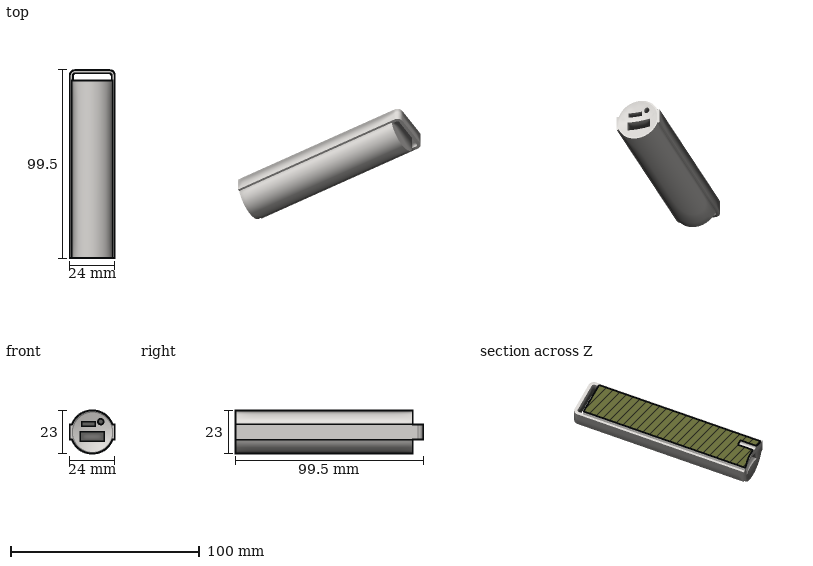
import cadquery as cq

body_diameter = 23.0
total_length = 99.5
band_width = 24.0

loop_overhang = 5.5
band_height = 8.0
band_thickness = 1.8
band_outer_radius = 3.0
band_inner_radius = band_outer_radius - band_thickness

rim_width = 0.8
dish_depth = 1.8

large_socket = (12.5, 5.1, 0.0, -2.45)
small_socket = (7.3, 2.4, -2.0, 4.25)
socket_depth = 10.0

round_hole_diameter = 3.0
round_hole_x = 4.5
round_hole_z = 5.45

body_length = total_length - loop_overhang


def make_body():
    """Solid cylinder along Y."""
    return cq.Workplane("XZ").circle(body_diameter / 2).extrude(-body_length)


def rounded_slab(width, length, corner_radius):
    """Slab from the front face to Y = length, with rounded rear corners."""
    return (
        cq.Workplane("XY")
        .box(width, length, band_height, centered=(True, False, True))
        .edges("|Z and >Y")
        .fillet(corner_radius)
    )


def make_band():
    """U-shaped strap: an outer slab less its inner opening."""
    outer = rounded_slab(band_width, total_length, band_outer_radius)
    opening_width = band_width - 2 * band_thickness
    opening_length = total_length - band_thickness
    return outer.cut(rounded_slab(opening_width, opening_length, band_inner_radius))


def make_dish():
    """Sphere whose cap meets the front face at the inside of the rim."""
    dish_radius = body_diameter / 2 - rim_width
    sphere_radius = (dish_radius**2 + dish_depth**2) / (2 * dish_depth)
    return cq.Workplane("XY").sphere(sphere_radius).translate((0, dish_depth - sphere_radius, 0))


def make_socket(width, height, centre_x, centre_z):
    """Rectangular blind pocket measured from the front face."""
    return cq.Workplane("XZ").center(centre_x, centre_z).rect(width, height).extrude(-socket_depth)


def make_round_hole():
    """Round blind hole measured from the front face."""
    profile = cq.Workplane("XZ").center(round_hole_x, round_hole_z).circle(round_hole_diameter / 2)
    return profile.extrude(-socket_depth)


result = make_body().union(make_band()).cut(make_dish())
for socket in (large_socket, small_socket):
    result = result.cut(make_socket(*socket))
result = result.cut(make_round_hole())